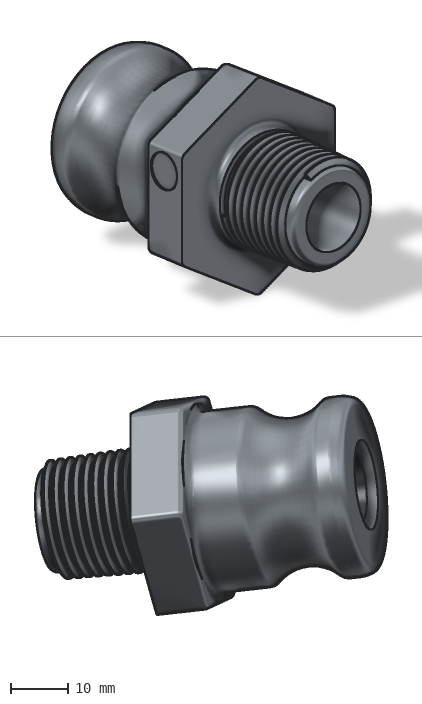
import cadquery as cq
import math

length = 57.9
lip_end = 5.3
groove_width = 13.4
hex_start = 28.55
hex_end = 38.05
collar_end = 40.15

nose_length = 2.4
nose_angle = 15.0
body_radius = 32.0 / 2
groove_floor_radius = 13.15
edge_fillet = 1.5

bore_radius = 12.7 / 2
bore_mouth_radius = 7.95

hex_flats = 35.8
hex_corner_fillet = 1.4
hex_face_fillet = 0.9

badge_diameter = 6.95
badge_depth = 0.3
badge_x = 33.25
badge_z = 6.1

collar_radius = 21.85 / 2
collar_fillet = 1.5
tip_radius = 9.2
tip_fillet = 0.9
taper_on_diameter = 1 / 16
taper_angle = math.degrees(math.atan(taper_on_diameter / 2))

thread_pitch = 14.5 / 8
thread_end = 56.4
thread_turns = 8.8
thread_end_turn = 30.0
thread_height = 1.3
thread_base = 1.6
thread_crest = 0.2
thread_overlap = 0.2


def spigot_radius(x):
    """Radius of the tapered spigot between the thread turns."""
    return tip_radius + (length - x) * math.tan(math.radians(taper_angle))


def make_body():
    """Cam-groove body, flaring into the front of the hexagon."""
    groove_middle = lip_end + groove_width / 2
    groove_end = lip_end + groove_width
    nose_radius = body_radius - nose_length * math.tan(math.radians(nose_angle))
    body = (
        cq.Workplane("XY")
        .moveTo(0, 0)
        .lineTo(0, nose_radius)
        .lineTo(nose_length, body_radius)
        .lineTo(lip_end, body_radius)
        .threePointArc((groove_middle, groove_floor_radius), (groove_end, body_radius))
        .lineTo(hex_start - edge_fillet, body_radius)
        .tangentArcPoint((hex_start, body_radius + edge_fillet), relative=False)
        .lineTo(hex_start + hex_face_fillet, body_radius + edge_fillet)
        .lineTo(hex_start + hex_face_fillet, 0)
        .close()
        .revolve(360, (0, 0, 0), (1, 0, 0))
    )
    reach = 2 * body_radius
    rims = cq.selectors.BoxSelector(
        (-reach, -reach, -reach),
        (groove_end + edge_fillet, reach, reach),
        boundingbox=True,
    )
    return body.edges(rims).edges("%CIRCLE").fillet(edge_fillet)


def make_hexagon():
    """Wrench hexagon, rounded on its corners and its front rim, with the round recess."""
    hexagon = (
        cq.Workplane("YZ", origin=(hex_start, 0, 0))
        .polygon(6, hex_flats, circumscribed=True)
        .extrude(hex_end - hex_start)
        .edges("|X")
        .fillet(hex_corner_fillet)
        .faces("<X")
        .edges()
        .fillet(hex_face_fillet)
    )
    recess = (
        cq.Workplane("XZ", origin=(badge_x, -hex_flats / 2, badge_z))
        .circle(badge_diameter / 2)
        .extrude(-badge_depth)
    )
    return hexagon.cut(recess)


def make_spigot():
    """Collar and tapered spigot behind the hexagon, without the thread."""
    spigot = (
        cq.Workplane("XY")
        .moveTo(hex_start, 0)
        .lineTo(hex_start, collar_radius + collar_fillet)
        .lineTo(hex_end, collar_radius + collar_fillet)
        .radiusArc((hex_end + collar_fillet, collar_radius), -collar_fillet)
        .lineTo(collar_end, collar_radius)
        .lineTo(collar_end, spigot_radius(collar_end))
        .lineTo(length, tip_radius)
        .lineTo(length, 0)
        .close()
        .revolve(360, (0, 0, 0), (1, 0, 0))
    )
    return spigot.faces(">X").edges().fillet(tip_fillet)


def make_thread():
    """Right-hand tapered ridge, starting near the spigot tip and ending against the collar."""
    helix_radius = spigot_radius(thread_end)
    helix = cq.Wire.makeHelix(thread_pitch, thread_turns * thread_pitch, helix_radius, angle=taper_angle)
    root = -thread_overlap
    root_half_width = thread_base / 2
    ridge = (
        cq.Workplane("XZ", origin=(helix_radius, 0, 0))
        .polyline(
            [
                (root, -root_half_width),
                (root, root_half_width),
                (thread_height, thread_crest / 2),
                (thread_height, -thread_crest / 2),
            ]
        )
        .close()
        .sweep(cq.Workplane(helix), isFrenet=True)
    )
    ridge = ridge.rotate((0, 0, 0), (0, 1, 0), -90).translate((thread_end, 0, 0))
    return ridge.rotate((0, 0, 0), (1, 0, 0), thread_end_turn)


def make_bore():
    """Through bore with a 45 degree countersink at the nose."""
    return (
        cq.Workplane("XY")
        .lineTo(0, bore_mouth_radius)
        .lineTo(bore_mouth_radius - bore_radius, bore_radius)
        .lineTo(length, bore_radius)
        .lineTo(length, 0)
        .close()
        .revolve(360, (0, 0, 0), (1, 0, 0))
    )


fitting = make_body().union(make_hexagon()).union(make_spigot())
result = fitting.union(make_thread()).cut(make_bore())